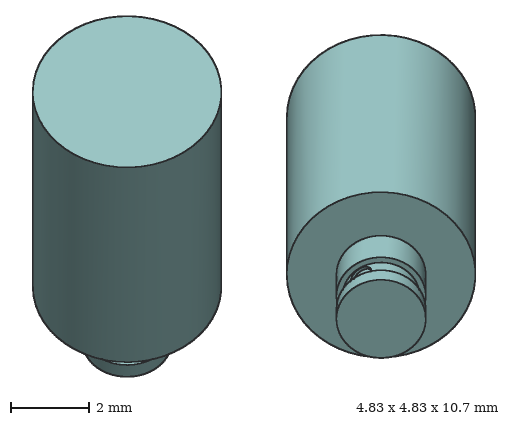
import cadquery as cq

INCH = 25.4

total_height = 0.420 * INCH
body_diameter = 0.190 * INCH
stem_diameter = 0.090 * INCH
groove_diameter = 0.078 * INCH
flange_height = 0.020 * INCH
groove_height = 0.027 * INCH
collar_height = 0.045 * INCH
body_height = total_height - flange_height - groove_height - collar_height

recess_diameter = 0.025 * INCH
recess_depth = 0.003 * INCH


def make_turned_body():
    """Stack the flange, groove, collar and body along Z, centred on the axis."""
    return (
        cq.Workplane("XY")
        .circle(stem_diameter / 2).extrude(flange_height)
        .faces(">Z").workplane().circle(groove_diameter / 2).extrude(groove_height)
        .faces(">Z").workplane().circle(stem_diameter / 2).extrude(collar_height)
        .faces(">Z").workplane().circle(body_diameter / 2).extrude(body_height)
    )


def make_recess_cutter():
    """Cross pin along X, hollowed so each recess floor is a cylinder coaxial with the groove."""
    recess_centre_z = flange_height + groove_height / 2
    cross_pin = (
        cq.Workplane("YZ", origin=(0, 0, recess_centre_z))
        .circle(recess_diameter / 2)
        .extrude(stem_diameter / 2, both=True)
    )
    floor_core = (
        cq.Workplane("XY")
        .circle(groove_diameter / 2 - recess_depth)
        .extrude(total_height)
    )
    return cross_pin.cut(floor_core)


result = make_turned_body().cut(make_recess_cutter())